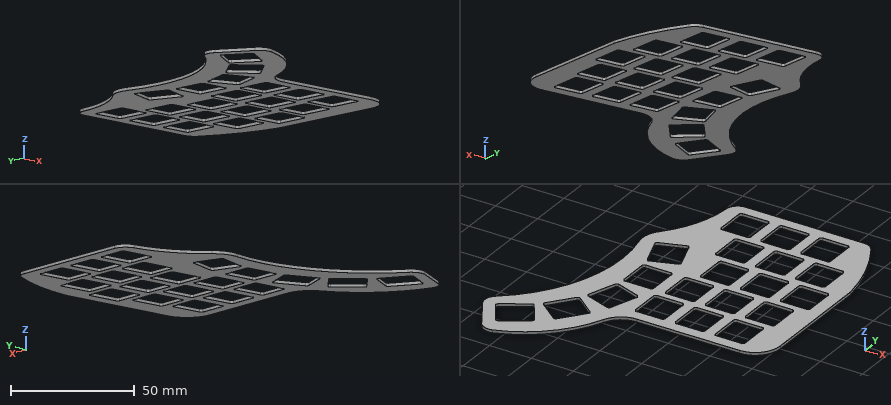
import cadquery as cq
import math

thickness = 1.4
width = 121.7
height = 141.5
finger_bottom = 38.9

top_left = (42.2, height)
top_right = (107.9, height)
right_shoulder = (width, 104.0)
bottom_right = (width, finger_bottom)
neck = (52.1, finger_bottom)
thumb_tip_bottom = (11.7, -1.0)
thumb_tip_left = (-2.0, 22.0)
knee = (24.8, 101.2)

right_arc_radius = 87.8
thumb_outer_radius = 54.5
thumb_inner_radius = 67.1
upper_left_radius = 49.5

corner_rounding = 6.0
knee_rounding = 12.0
neck_rounding = 12.0
bottom_right_rounding = 12.0

key_width = 14.0
key_height = 15.6
key_rounding = 1.0
row_span = 76.2
pitch = row_span / 4
keys_per_row = 3

first_key = (56.0, 128.4)
row_shifts = [0, 1 / 2, 3 / 4, 1 / 2, 3 / 8]

thumb_row = 3
thumb_center = (-17.5, first_key[1] - thumb_row * pitch)
thumb_radius = 63.3
thumb_step = 19.3
thumb_steps = [1, 0, -1, -2, -3]


def round_corner(plate, corner, radius):
    """Round the upright edge of the plate that stands at the given corner."""
    edge = plate.edges("|Z").edges(cq.selectors.NearestToPointSelector((*corner, thickness / 2)))
    return edge.fillet(radius)


def make_plate():
    plate = (
        cq.Workplane("XY")
        .moveTo(*top_left)
        .lineTo(*top_right)
        .radiusArc(right_shoulder, right_arc_radius)
        .lineTo(*bottom_right)
        .lineTo(*neck)
        .radiusArc(thumb_tip_bottom, thumb_outer_radius)
        .lineTo(*thumb_tip_left)
        .radiusArc(knee, -thumb_inner_radius)
        .radiusArc(top_left, -upper_left_radius)
        .close()
        .extrude(thickness)
    )
    roundings = [
        (top_left, corner_rounding),
        (top_right, corner_rounding),
        (bottom_right, bottom_right_rounding),
        (neck, neck_rounding),
        (thumb_tip_bottom, corner_rounding),
        (thumb_tip_left, corner_rounding),
        (knee, knee_rounding),
    ]
    for corner, radius in roundings:
        plate = round_corner(plate, corner, radius)
    return plate


def key_opening(x, y, angle=0):
    """Cutter for one key opening, centred at (x, y) and turned by angle degrees."""
    return (
        cq.Workplane("XY")
        .rect(key_width, key_height)
        .extrude(thickness)
        .edges("|Z")
        .fillet(key_rounding)
        .rotate((0, 0, 0), (0, 0, 1), angle)
        .translate((x, y, 0))
    )


def finger_openings():
    openings = []
    for row, shift in enumerate(row_shifts):
        y = first_key[1] - row * pitch
        for column in range(keys_per_row):
            x = first_key[0] + (column + shift) * pitch
            openings.append(key_opening(x, y))
    return openings


def thumb_openings():
    openings = []
    for step in thumb_steps:
        angle = step * thumb_step
        x = thumb_center[0] + thumb_radius * math.cos(math.radians(angle))
        y = thumb_center[1] + thumb_radius * math.sin(math.radians(angle))
        openings.append(key_opening(x, y, angle))
    return openings


result = make_plate()
for opening in finger_openings() + thumb_openings():
    result = result.cut(opening)